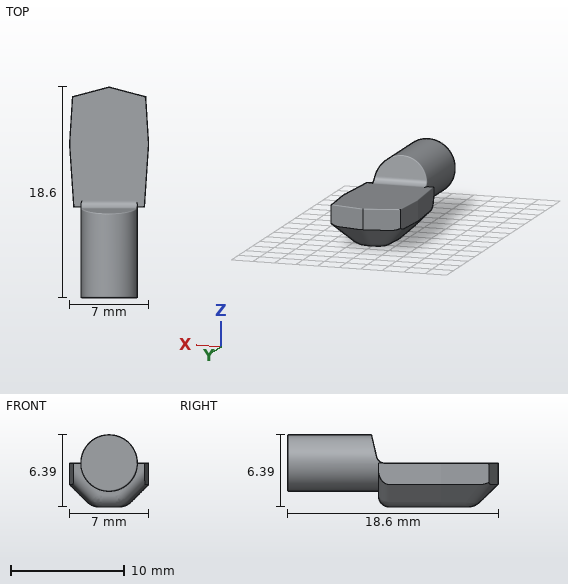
import cadquery as cq
import math

length = 18.6
blade_rear = 8.0
blade_widest = 13.56
blade_shoulder = 17.75

rear_half_width = 3.12
widest_half_width = 3.5
shoulder_half_width = 3.24

blade_depth = 3.89
side_height = 1.9
bevel = blade_depth - side_height
underside_radius = 1.49
rear_radius = 1.0

edge_radius = 0.1

pin_diameter = 5.0
pin_radius = pin_diameter / 2
slope_top = 7.4
slope_angle = 13.0
root_radius = 0.7

TOLERANCE = 0.002


def make_blade():
    """Tapered plate with a pointed tip, bevelled below on every side but the rear."""
    right_side = [
        (rear_half_width, blade_rear),
        (widest_half_width, blade_widest),
        (shoulder_half_width, blade_shoulder),
    ]
    left_side = [(-x, y) for x, y in reversed(right_side)]
    outline = right_side + [(0, length)] + left_side
    blade = cq.Workplane("XY").polyline(outline).close().extrude(-blade_depth)

    rear_edge = cq.selectors.BoxSelector(
        (-length, blade_rear - TOLERANCE, -length),
        (length, blade_rear + TOLERANCE, length),
    )
    blade = blade.faces("<Z").edges().edges(cq.selectors.InverseSelector(rear_edge)).chamfer(bevel)

    tip_corners = cq.selectors.BoxSelector(
        (-length, blade_shoulder - bevel, -blade_depth + TOLERANCE),
        (length, blade_shoulder, -side_height - TOLERANCE),
    )
    sloping = cq.selectors.InverseSelector(cq.selectors.PerpendicularDirSelector(cq.Vector(0, 0, 1)))
    blade = blade.edges(tip_corners).edges(sloping).fillet(underside_radius)
    blade = blade.faces("<Z").edges(cq.selectors.InverseSelector(rear_edge)).fillet(underside_radius)

    below_sides = cq.selectors.BoxSelector(
        (-length, blade_rear - TOLERANCE, -length),
        (length, blade_rear + TOLERANCE, -side_height - TOLERANCE),
    )
    blade = blade.edges(below_sides).fillet(rear_radius)
    return blade.faces(">Z").edges().fillet(edge_radius)


def make_pin():
    """Round pin whose upper half ends in a slope that blends into the blade top."""
    slope = math.radians(slope_angle)
    slope_foot = slope_top + pin_radius * math.tan(slope)
    half_turn = (math.pi / 2 - slope) / 2
    tangent = root_radius * math.tan(half_turn)
    root_end = slope_foot + tangent
    slope_end = (slope_foot - tangent * math.sin(slope), tangent * math.cos(slope))
    arc_middle = (
        root_end - root_radius * math.sin(half_turn),
        root_radius * (1 - math.cos(half_turn)),
    )
    profile = (
        cq.Workplane("YZ")
        .moveTo(0, -pin_radius)
        .lineTo(root_end, -pin_radius)
        .lineTo(root_end, 0)
        .threePointArc(arc_middle, slope_end)
        .lineTo(slope_top, pin_radius)
        .lineTo(0, pin_radius)
        .close()
        .extrude(pin_radius, both=True)
    )
    cylinder = cq.Workplane("XZ").circle(pin_radius).extrude(-length / 2)
    cylinder = cylinder.faces("<Y").fillet(edge_radius)
    pin = cylinder.intersect(profile)
    return pin.edges("%ELLIPSE or %BSPLINE").fillet(edge_radius)


result = make_blade().union(make_pin())